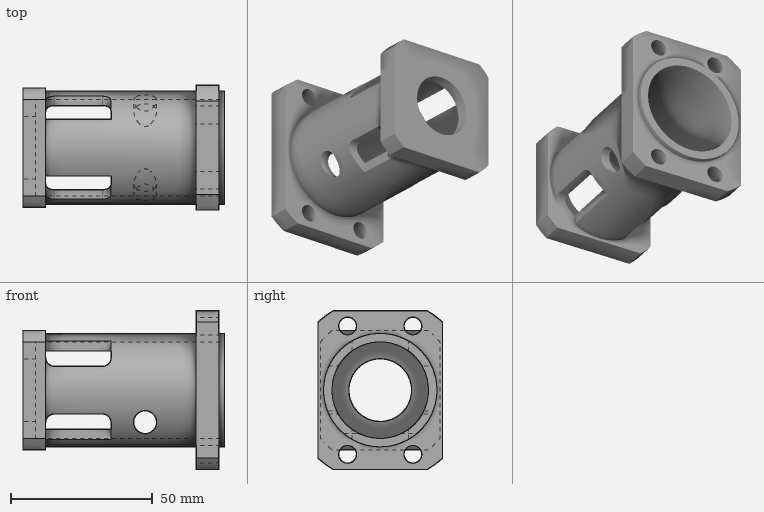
import cadquery as cq

length = 71.0
plate_thickness = 8.0
end_lip = 2.0
flange_start = length - end_lip - plate_thickness

tube_diameter = 40.0
tube_bore = 34.0

front_side = 42.0
front_corner_diameter = 54.0
front_bore = 22.0
front_bore_depth = 4.5

flange_width = 44.0
flange_height = 56.0
flange_corner_diameter = 65.05
bolt_hole_diameter = 6.2
bolt_spacing_y = 23.0
bolt_spacing_z = 45.15

window_length = 23.0
window_inner_y = 10.0
window_inner_z = 8.45
window_corner_radius = 3.0

cross_hole_diameter = 8.0
cross_hole_x = 43.0
cross_hole_z = -11.3


def rod(diameter, start, end):
    """Solid cylinder on the X axis."""
    return cq.Workplane("YZ", origin=(start, 0, 0)).circle(diameter / 2).extrude(end - start)


def plate(start, width, height, corner_diameter):
    """Rectangular plate with corners turned down to a cylinder on the X axis."""
    end = start + plate_thickness
    block = cq.Workplane("YZ", origin=(start, 0, 0)).rect(width, height).extrude(plate_thickness)
    return block.intersect(rod(corner_diameter, start, end))


def window(side_y, side_z):
    """Cutter for one window: flat walls in Y and Z, rounded corners on the inner Z edge."""
    reach = tube_diameter / 2
    corner = (plate_thickness, window_inner_y, window_inner_z)
    cutter = (
        cq.Workplane("XY")
        .box(window_length, reach, reach, centered=False)
        .edges("|Y and <Z")
        .fillet(window_corner_radius)
        .translate(corner)
    )
    if side_y < 0:
        cutter = cutter.mirror("XZ")
    if side_z < 0:
        cutter = cutter.mirror("XY")
    return cutter


tube = rod(tube_diameter, 0, length)
for side_y in (-1, 1):
    for side_z in (-1, 1):
        tube = tube.cut(window(side_y, side_z))

cross_hole = (
    cq.Workplane("XZ")
    .center(cross_hole_x, cross_hole_z)
    .circle(cross_hole_diameter / 2)
    .extrude(tube_diameter / 2, both=True)
)
tube = tube.cut(cross_hole)

bolt_holes = (
    cq.Workplane("YZ", origin=(flange_start, 0, 0))
    .rect(bolt_spacing_y, bolt_spacing_z, forConstruction=True)
    .vertices()
    .circle(bolt_hole_diameter / 2)
    .extrude(plate_thickness)
)
flange = plate(flange_start, flange_width, flange_height, flange_corner_diameter).cut(bolt_holes)

front_plate = plate(0, front_side, front_side, front_corner_diameter)
result = (
    tube.union(front_plate)
    .union(flange)
    .cut(rod(front_bore, 0, front_bore_depth))
    .cut(rod(tube_bore, front_bore_depth, length))
)